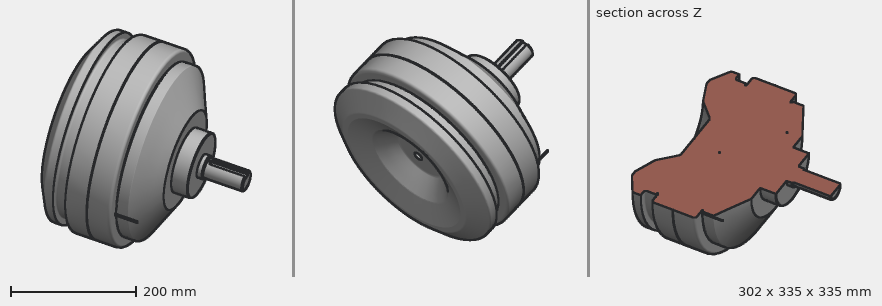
import cadquery as cq
import math


rim_face_radius = 128.0
rim_radius = 325 / 2
rim_cone_end = 20.5
rim_end = 35.5
rim_edge_round = 4.7
rim_face_round = 5.7

neck_radius = 298 / 2
neck_fillet = 3.5

drum_radius = 335 / 2
drum_start = 57.3
drum_end = 138.5
drum_round = 5.5
seam_width = 1.0
seam_depth = 0.5
seam_position = 96.8

gap_radius = 290.0 / 2
gap_width = 1.5

cover_radius = 296.0 / 2
cover_cone_start = 160.5
cover_cone_end = 194.0
cover_end_radius = 84.0
cover_edge_round = 2.0

hub_radius = 110.0 / 2
hub_end = 222.8
hub_chamfer = 1.0
collar_radius = 40.0 / 2
collar_end = 233.0
collar_chamfer = 1.7
shaft_radius = 35.0 / 2
shaft_end = 302.0
shaft_chamfer = 2.0

dish_radius = 117.0
dish_lip_round = 1.0
dish_step_radius = 78.5
dish_step_depth = 15.0
dish_floor_radius = 48.2
dish_depth = 44.5
dish_edge_round = 4.5
dish_floor_fillet = 5.5

hole_diameter = 15.5
hole_circle_radius = 16.5
hole_angle = 60
hole_depth = 13.5
drill_tip_angle = 118

keyway_width = 9.5
keyway_start = 237.2
keyway_depth = 5.7

wire_diameter = 1.2
wire_count = 3
wire_pitch = 1.15
wire_end = 178.0
wire_embed = 3.5
wire_y = -149.5


def cylinder(radius, start, end):
    """Cylinder on the X axis between two stations."""
    return cq.Workplane("YZ", origin=(start, 0, 0)).circle(radius).extrude(end - start)


def revolve_profile(points):
    """Turn a closed (x, radius) outline about the X axis."""
    return cq.Workplane("XY").polyline(points).close().revolve(360, (0, 0, 0), (1, 0, 0))


def round_edge(body, x, radius, size):
    """Fillet the circular edge at station x with the given radius."""
    tolerance = 0.07
    edge_box = cq.selectors.BoxSelector(
        (x - tolerance, -radius - tolerance, -radius - tolerance),
        (x + tolerance, radius + tolerance, radius + tolerance),
        boundingbox=True,
    )
    return body.edges(edge_box).edges(cq.selectors.RadiusNthSelector(-1)).fillet(size)


def make_housing():
    """Rim, neck, drum and rear cover as one turned body with rounded edges."""
    body = revolve_profile([
        (0, 0),
        (0, rim_face_radius),
        (rim_cone_end, rim_radius),
        (rim_end, rim_radius),
        (rim_end, neck_radius),
        (drum_start - gap_width, neck_radius),
        (drum_start - gap_width, gap_radius),
        (drum_start, gap_radius),
        (drum_start, drum_radius),
        (drum_end, drum_radius),
        (drum_end, gap_radius),
        (drum_end + gap_width, gap_radius),
        (drum_end + gap_width, cover_radius),
        (cover_cone_start, cover_radius),
        (cover_cone_end, cover_end_radius),
        (cover_cone_end, 0),
    ])
    rounded_edges = [
        (0, rim_face_radius, rim_face_round),
        (rim_cone_end, rim_radius, rim_edge_round),
        (rim_end, neck_radius, neck_fillet),
        (drum_start, drum_radius, drum_round),
        (drum_end, drum_radius, drum_round),
        (cover_cone_start, cover_radius, cover_edge_round),
    ]
    for x, radius, size in rounded_edges:
        body = round_edge(body, x, radius, size)
    return body


def make_seam():
    """Thin ring that cuts the parting groove."""
    seam_start = seam_position - seam_width / 2
    seam_end = seam_start + seam_width
    outer = cylinder(drum_radius + seam_depth, seam_start, seam_end)
    return outer.cut(cylinder(drum_radius - seam_depth, seam_start, seam_end))


def make_dish():
    """Solid shape of the front recess."""
    dish = revolve_profile([
        (0, 0),
        (0, dish_radius),
        (dish_step_depth, dish_step_radius),
        (dish_depth, dish_floor_radius),
        (dish_depth, 0),
    ])
    dish = round_edge(dish, dish_step_depth, dish_step_radius, dish_edge_round)
    return round_edge(dish, dish_depth, dish_floor_radius, dish_floor_fillet)


def make_hole(angle):
    """Drilled hole with a conical bottom, at an angle measured from +Y towards +Z."""
    radius = hole_diameter / 2
    tip_length = radius / math.tan(math.radians(drill_tip_angle / 2))
    hole = revolve_profile([
        (dish_depth, 0),
        (dish_depth, radius),
        (dish_depth + hole_depth, radius),
        (dish_depth + hole_depth + tip_length, 0),
    ])
    y = hole_circle_radius * math.cos(math.radians(angle))
    z = hole_circle_radius * math.sin(math.radians(angle))
    return hole.translate((0, y, z))


def make_shaft():
    """Hub, collar and keyed shaft behind the rear cover."""
    hub = cylinder(hub_radius, cover_cone_end, hub_end).faces(">X").chamfer(hub_chamfer)
    collar = cylinder(collar_radius, hub_end, collar_end).faces(">X").chamfer(collar_chamfer)
    shaft = cylinder(shaft_radius, collar_end, shaft_end).faces(">X").chamfer(shaft_chamfer)
    return hub.union(collar).union(shaft).cut(make_keyway())


def make_keyway():
    """Round-ended slot cut down from the top of the shaft."""
    end_radius = keyway_width / 2
    floor_z = shaft_radius - keyway_depth
    arc_x = keyway_start + end_radius
    return (
        cq.Workplane("XY", origin=(0, 0, floor_z))
        .moveTo(shaft_end, -end_radius)
        .lineTo(arc_x, -end_radius)
        .threePointArc((keyway_start, 0), (arc_x, end_radius))
        .lineTo(shaft_end, end_radius)
        .close()
        .extrude(keyway_depth)
    )


def make_wire(index):
    """One straight wire of the row, rooted inside the drum."""
    z = (index - (wire_count - 1) / 2) * wire_pitch
    start = drum_end - wire_embed
    return cylinder(wire_diameter / 2, start, wire_end).translate((0, wire_y, z))


housing = make_housing().cut(make_seam()).cut(make_dish())
housing = round_edge(housing, 0, dish_radius, dish_lip_round)
result = housing.union(make_shaft())

for angle in (180 - hole_angle, -hole_angle):
    result = result.cut(make_hole(angle))

for wire_index in range(wire_count):
    result = result.union(make_wire(wire_index))